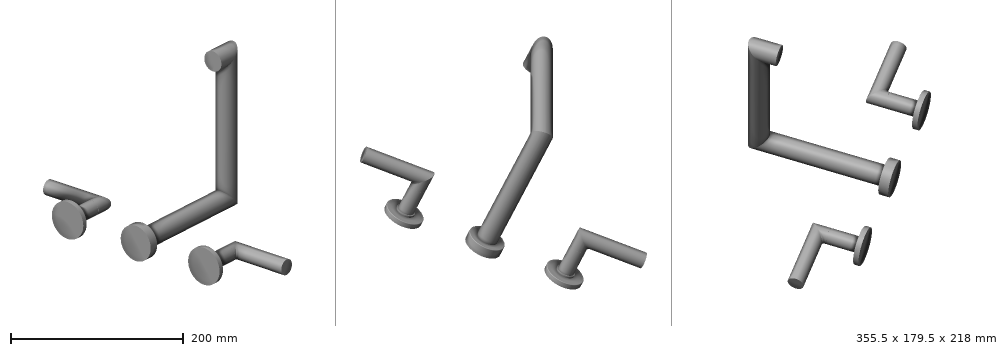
import cadquery as cq
import math

overall_width = 355.5
handle_offset = 101.7

spout_diameter = 25.5
spout_reach = 179.5
spout_top = 194.5
outlet_length = 37.7
spout_flange_diameter = 44.8
spout_flange_thickness = 12.5

lever_diameter = 19.5
handle_reach = 68.3
handle_flange_diameter = 47.0
handle_flange_thickness = 6.8
collar_diameter = 22.8
collar_thickness = 2.5
joint_position = 44.0
joint_width = 1.0
joint_depth = 0.18
elbow_blend_height = 1.5
flange_edge_fillet = 0.7


def disc(x, y, diameter, thickness):
    """Cylinder with its axis along Y, starting at the given Y."""
    start = cq.Vector(x, y, 0)
    return cq.Workplane(cq.Solid.makeCylinder(diameter / 2, thickness, start, cq.Vector(0, 1, 0)))


def mitred_tube(points, diameter):
    """Round bar along a polyline that starts along Y, with mitred corners."""
    path = cq.Wire.makePolygon([cq.Vector(*point) for point in points])
    start_plane = cq.Plane(origin=points[0], xDir=(1, 0, 0), normal=(0, 1, 0))
    return cq.Workplane(start_plane).circle(diameter / 2).sweep(cq.Workplane(path), transition="right")


def make_flange(x, diameter, thickness):
    """Wall flange with its front rim rounded."""
    return disc(x, 0, diameter, thickness).edges(">Y").fillet(flange_edge_fillet)


def make_spout():
    upright_y = spout_reach - spout_diameter / 2
    outlet_z = spout_top - spout_diameter / 2
    points = [
        (0, 0, 0),
        (0, upright_y, 0),
        (0, upright_y, outlet_z),
        (0, spout_reach - outlet_length, outlet_z),
    ]
    flange = make_flange(0, spout_flange_diameter, spout_flange_thickness)
    return flange.union(mitred_tube(points, spout_diameter))


def make_joint_groove(stem_x):
    start = joint_position - joint_width / 2
    outer = disc(stem_x, start, collar_diameter, joint_width)
    return outer.cut(disc(stem_x, start, lever_diameter - 2 * joint_depth, joint_width))


def make_elbow_blend(corner_x, corner_y, side):
    """Blend over the inner mitre edge that fades out toward the sides of the elbow.

    An elliptical bar runs across the mitre plane; a wedge with its tip on the
    elbow axis trims it so that its borders lie on the two lever tubes.
    """
    inward = cq.Vector(side, -1, 0).normalized()
    across = cq.Vector(side, 1, 0).normalized()
    corner = cq.Vector(corner_x, corner_y, 0)
    reach = lever_diameter / 2 * math.sqrt(2) + elbow_blend_height
    bar_plane = cq.Plane(origin=corner, xDir=inward, normal=across)
    bar = cq.Workplane(bar_plane).ellipse(reach, lever_diameter / 2).extrude(elbow_blend_height, both=True)
    base_middle = corner + inward * reach
    wedge_points = [
        corner.toTuple()[:2],
        (base_middle + across * elbow_blend_height).toTuple()[:2],
        (base_middle - across * elbow_blend_height).toTuple()[:2],
    ]
    wedge = cq.Workplane("XY").polyline(wedge_points).close().extrude(lever_diameter, both=True)
    return bar.intersect(wedge)


def make_handle(side):
    """Handle on the -X side (side = -1) or the +X side (side = 1)."""
    stem_x = side * handle_offset
    lever_y = handle_reach - lever_diameter / 2
    points = [
        (stem_x, 0, 0),
        (stem_x, lever_y, 0),
        (side * overall_width / 2, lever_y, 0),
    ]
    flange = make_flange(stem_x, handle_flange_diameter, handle_flange_thickness)
    collar = disc(stem_x, handle_flange_thickness, collar_diameter, collar_thickness)
    arm = mitred_tube(points, lever_diameter)
    arm = arm.union(make_elbow_blend(stem_x, lever_y, side)).cut(make_joint_groove(stem_x))
    return flange.union(collar).union(arm)


spout = make_spout()
handles = [make_handle(side) for side in (-1, 1)]

result = cq.Compound.makeCompound([spout.val(), *[handle.val() for handle in handles]])